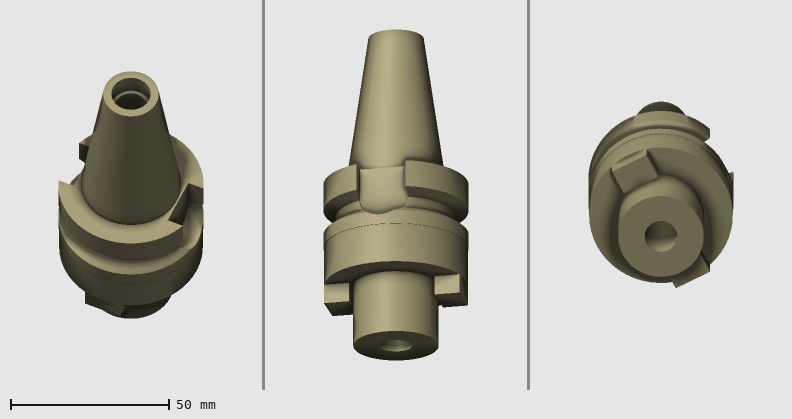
import cadquery as cq

total_height = 103.4
body_bottom = 20.2
flange_bottom = 32.9
groove_lower_edge = 37.3
groove_floor_bottom = 39.9
groove_floor_top = 43.3
groove_upper_edge = 45.5
flange_top = 54.2
taper_bottom = 55.1

pilot_radius = 13.5
body_radius = 22.7
flange_diameter = 46.0
flange_radius = flange_diameter / 2
groove_radius = 19.2
taper_base_radius = 15.8
taper_tip_radius = 8.8

bore_radius = 5.2
counterbore_radius = 6.2
counterbore_depth = 6.9

slot_width = 15.9
slot_floor_offset = 16.3
slot_bottom = 36.1

key_width = 12.2
key_inner_offset = 13.9
key_outer_offset = 22.0
key_height = 6.2


def turned_body():
    """Revolve the half outline of the holder about Z."""
    outline = [
        (0, 0),
        (pilot_radius, 0),
        (pilot_radius, body_bottom),
        (body_radius, body_bottom),
        (body_radius, flange_bottom),
        (flange_radius, flange_bottom),
        (flange_radius, groove_lower_edge),
        (groove_radius, groove_floor_bottom),
        (groove_radius, groove_floor_top),
        (flange_radius, groove_upper_edge),
        (flange_radius, flange_top),
        (taper_base_radius, flange_top),
        (taper_base_radius, taper_bottom),
        (taper_tip_radius, total_height),
        (0, total_height),
    ]
    return cq.Workplane("XZ").polyline(outline).close().revolve(360, (0, 0), (0, 1))


def drive_slot(side):
    """Round-bottomed slot cutter, open upward and outward, on the -X or +X side."""
    slot_radius = slot_width / 2
    arc_center = slot_bottom + slot_radius
    return (
        cq.Workplane("YZ", origin=(side * slot_floor_offset, 0, 0))
        .moveTo(-slot_radius, flange_top)
        .lineTo(-slot_radius, arc_center)
        .threePointArc((0, slot_bottom), (slot_radius, arc_center))
        .lineTo(slot_radius, flange_top)
        .close()
        .extrude(side * flange_radius)
    )


def drive_key(side):
    """Rectangular key under the body on the -Y or +Y side."""
    key_length = key_outer_offset - key_inner_offset
    key_center = side * (key_inner_offset + key_outer_offset) / 2
    return (
        cq.Workplane("XY", origin=(0, key_center, body_bottom))
        .rect(key_width, key_length)
        .extrude(-key_height)
    )


def bore():
    """Through hole with a counterbore at the small end of the taper."""
    through_hole = cq.Workplane("XY").circle(bore_radius).extrude(total_height)
    counterbore = (
        cq.Workplane("XY", origin=(0, 0, total_height))
        .circle(counterbore_radius)
        .extrude(-counterbore_depth)
    )
    return through_hole.union(counterbore)


result = turned_body()
for side in (-1, 1):
    result = result.cut(drive_slot(side)).union(drive_key(side))
result = result.cut(bore())